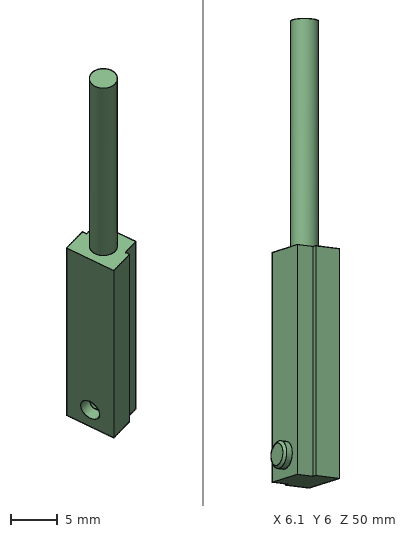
import cadquery as cq

body_height = 25
base_width = 6.1
base_depth = 3
rib_width = 5
body_depth = 5

rod_diameter = 3
rod_length = 25

screw_height = 2.5
hole_diameter = 2.45
tip_recess = 1

screw_diameter = 3
screw_projection = 1
screw_chamfer = 0.3
cup_rim_diameter = 1.4
cup_depth = 0.35
taper_length = (hole_diameter - cup_rim_diameter) / 2


def make_body():
    base = cq.Workplane("XY").box(base_width, base_depth, body_height, centered=(True, False, False))
    rib = cq.Workplane("XY").box(rib_width, body_depth, body_height, centered=(True, False, False))
    return base.union(rib)


def make_rod():
    return (
        cq.Workplane("XY", origin=(0, body_depth / 2, body_height))
        .circle(rod_diameter / 2)
        .extrude(rod_length)
    )


def make_tip_cavity():
    """Open front of the screw hole, bounded at its inner end by the cup point."""
    hole_radius = hole_diameter / 2
    return (
        cq.Workplane("XY")
        .lineTo(hole_radius, 0)
        .lineTo(hole_radius, tip_recess + taper_length)
        .lineTo(cup_rim_diameter / 2, tip_recess)
        .lineTo(0, tip_recess + cup_depth)
        .close()
        .revolve(360, (0, 0), (0, 1))
        .translate((0, 0, screw_height))
    )


def make_screw_end():
    return (
        cq.Workplane("XZ", origin=(0, body_depth, screw_height))
        .circle(screw_diameter / 2)
        .extrude(-screw_projection)
        .faces(">Y")
        .chamfer(screw_chamfer)
    )


result = make_body().union(make_rod()).union(make_screw_end()).cut(make_tip_cavity())